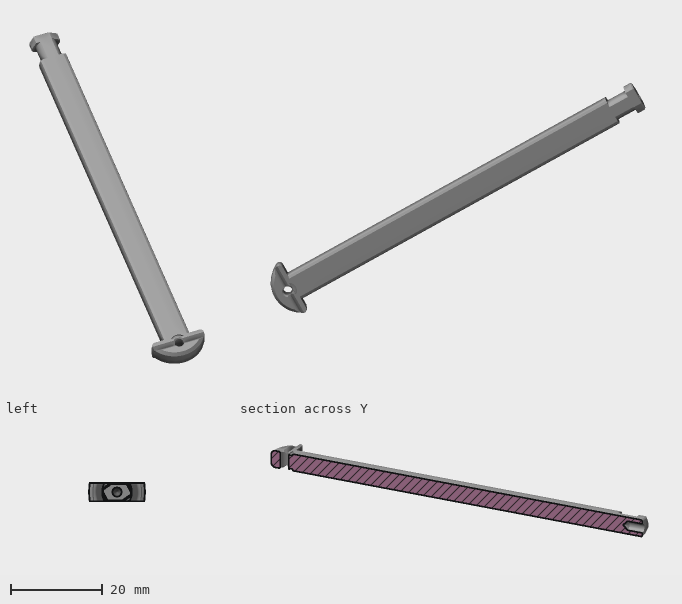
import cadquery as cq
import math

length = 91.25
thickness = 4.0
half_thickness = thickness / 2

shaft_width = 6.5
shaft_flat_width = 4.65
shaft_shoulder_width = 5.75
shaft_shoulder_drop = 0.3

tip_length = 2.0
neck_end = 6.6
neck_diameter = 4.7
tip_edge_height = 0.7
tip_edge_offset = 0.2
tip_wide_flat = 2.3
tip_narrow_flat = 1.4
tip_end_chamfer = 0.3
tip_hole_diameter = 2.0
tip_hole_depth = 3.65
drill_point_angle = 90

head_start = 86.2
head_radius = 6.7
head_side_bulge = 0.14
head_corner_radius = 0.8
head_centre = length - head_radius
cap_chamfer = 0.6

groove_centre = 87.9
groove_width = 1.5
groove_depth = 0.7
cord_hole_diameter = 2.0
cord_rim_chamfer = 0.3

recess_centre = 87.6
recess_radius = 1.7
recess_end = 86.7
recess_depth = 0.4


def make_shaft():
    """Flat bar with bulged sides and a narrow bevel along each long edge."""
    half_flat = shaft_flat_width / 2
    half_shoulder = shaft_shoulder_width / 2
    shoulder_z = half_thickness - shaft_shoulder_drop
    return (
        cq.Workplane("YZ", origin=(neck_end, 0, 0))
        .moveTo(-half_flat, half_thickness)
        .lineTo(half_flat, half_thickness)
        .lineTo(half_shoulder, shoulder_z)
        .threePointArc((shaft_width / 2, 0), (half_shoulder, -shoulder_z))
        .lineTo(half_flat, -half_thickness)
        .lineTo(-half_flat, -half_thickness)
        .lineTo(-half_shoulder, -shoulder_z)
        .threePointArc((-shaft_width / 2, 0), (-half_shoulder, shoulder_z))
        .close()
        .extrude(head_start + head_corner_radius - neck_end)
    )


def make_neck():
    """Round neck flattened to the thickness of the rod."""
    neck_cylinder = (
        cq.Workplane("YZ", origin=(tip_length, 0, 0))
        .circle(neck_diameter / 2)
        .extrude(neck_end - tip_length)
    )
    slab = cq.Workplane("XY").box(2 * neck_end, neck_diameter, thickness)
    return neck_cylinder.intersect(slab)


def make_tip():
    """Eight-sided twist-lock tip, the same after half a turn about X."""
    half_width = shaft_width / 2
    outline = [
        (-tip_wide_flat, half_thickness),
        (tip_narrow_flat, half_thickness),
        (half_width, tip_edge_height),
        (half_width, -tip_edge_offset),
        (tip_wide_flat, -half_thickness),
        (-tip_narrow_flat, -half_thickness),
        (-half_width, -tip_edge_height),
        (-half_width, tip_edge_offset),
    ]
    return (
        cq.Workplane("YZ")
        .polyline(outline)
        .close()
        .extrude(tip_length)
        .faces("<X")
        .chamfer(tip_end_chamfer)
    )


def make_tip_hole():
    """Blind drilled hole in the end of the tip."""
    radius = tip_hole_diameter / 2
    point_length = radius / math.tan(math.radians(drill_point_angle / 2))
    return (
        cq.Workplane("XY")
        .polyline([
            (0, 0),
            (0, radius),
            (tip_hole_depth, radius),
            (tip_hole_depth + point_length, 0),
        ])
        .close()
        .revolve(360, (0, 0, 0), (1, 0, 0))
    )


def make_disc(edge_chamfer):
    """Disc with a bulged rim, and a bevel on both rim edges when asked for."""
    rim_edge = head_radius - head_side_bulge
    profile = cq.Workplane("XZ").moveTo(0, -half_thickness)
    profile = profile.lineTo(rim_edge - edge_chamfer, -half_thickness)
    if edge_chamfer > 0:
        profile = profile.lineTo(rim_edge, edge_chamfer - half_thickness)
    profile = profile.threePointArc((head_radius, 0), (rim_edge, half_thickness - edge_chamfer))
    if edge_chamfer > 0:
        profile = profile.lineTo(rim_edge - edge_chamfer, half_thickness)
    profile = profile.lineTo(0, half_thickness).close()
    disc = profile.revolve(360, (0, 0, 0), (0, 1, 0))
    return disc.translate((head_centre, 0, 0))


def make_slice(start, end):
    """Block covering everything between two places along X."""
    block = cq.Workplane("XY").box(end - start, 4 * head_radius, 2 * thickness)
    return block.translate(((start + end) / 2, 0, 0))


def make_head():
    """Half-moon head: a full-height flange, the groove, then a bevelled cap."""
    flange = make_disc(0).intersect(make_slice(head_start, groove_centre))
    flange = flange.faces("<X").edges("<Y or >Y").fillet(head_corner_radius)
    cap = make_disc(cap_chamfer).intersect(make_slice(groove_centre, length))
    head = flange.union(cap)
    for side in (1, -1):
        groove = (
            cq.Workplane("XZ")
            .polyline([
                (groove_centre - groove_width / 2, side * half_thickness),
                (groove_centre, side * (half_thickness - groove_depth)),
                (groove_centre + groove_width / 2, side * half_thickness),
            ])
            .close()
            .extrude(2 * head_radius, both=True)
        )
        head = head.cut(groove)
    return head


def make_cord_hole():
    """Through hole across the head, bevelled at both rims."""
    hole_radius = cord_hole_diameter / 2
    rim_radius = hole_radius + cord_rim_chamfer
    bevel_z = half_thickness - cord_rim_chamfer
    return (
        cq.Workplane("XZ", origin=(groove_centre, 0, 0))
        .polyline([
            (0, -half_thickness),
            (rim_radius, -half_thickness),
            (hole_radius, -bevel_z),
            (hole_radius, bevel_z),
            (rim_radius, half_thickness),
            (0, half_thickness),
        ])
        .close()
        .revolve(360, (0, 0, 0), (0, 1, 0))
    )


def make_recess():
    """Shallow crescent-shaped pocket beside the cord hole, on both faces."""
    half_chord = math.sqrt(recess_radius**2 - (recess_centre - recess_end) ** 2)
    upper = (
        cq.Workplane("XY", origin=(0, 0, half_thickness - recess_depth))
        .moveTo(recess_end, half_chord)
        .threePointArc((recess_centre - recess_radius, 0), (recess_end, -half_chord))
        .close()
        .extrude(recess_depth)
    )
    return upper.union(upper.mirror("XY"))


result = make_shaft().union(make_neck()).union(make_tip()).union(make_head())
result = result.cut(make_tip_hole()).cut(make_cord_hole()).cut(make_recess())